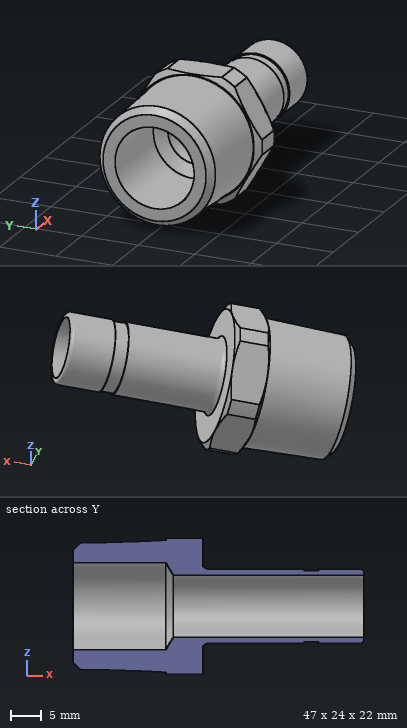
import cadquery as cq
import math

total_length = 47.0
hex_start = 15.0
hex_width = 6.0
hex_end = hex_start + hex_width
groove_start = 37.35
groove_width = 2.25
groove_end = groove_start + groove_width

thread_chamfer = 1.18
thread_gauge_length = 8.15
thread_gauge_radius = 10.5
radius_taper = 1 / 32
entry_radius = 9.1

across_flats = 22.0
corner_diameter = 24.0
hex_chamfer_angle = 30
thread_side_chamfer_height = 1.18
tube_side_chamfer_height = 1.05

tube_radius = 6.0
groove_radius = 5.8
tip_rounding = 0.55
root_width = 1.0
root_height = 0.5

entry_bore_radius = 7.0
tube_bore_radius = 5.0
entry_bore_depth = hex_start
drill_point_angle = 118


def thread_radius(x):
    return thread_gauge_radius + (x - thread_gauge_length) * radius_taper


def revolve_about_x(profile):
    return profile.close().revolve(360, (0, 0, 0), (1, 0, 0))


def make_thread():
    profile = (
        cq.Workplane("XY")
        .lineTo(0, entry_radius)
        .lineTo(thread_chamfer, thread_radius(thread_chamfer))
        .lineTo(thread_gauge_length, thread_gauge_radius)
        .lineTo(hex_start, thread_radius(hex_start))
        .lineTo(hex_start, 0)
    )
    return revolve_about_x(profile)


def make_hex():
    across_corners = across_flats / math.cos(math.pi / 6)
    prism = (
        cq.Workplane("YZ")
        .workplane(offset=hex_start)
        .polygon(6, across_corners)
        .extrude(hex_width)
    )
    corner_radius = corner_diameter / 2
    slope = math.tan(math.radians(hex_chamfer_angle))
    envelope = (
        cq.Workplane("XY")
        .moveTo(hex_start, 0)
        .lineTo(hex_start, corner_radius - thread_side_chamfer_height)
        .lineTo(hex_start + thread_side_chamfer_height * slope, corner_radius)
        .lineTo(hex_end - tube_side_chamfer_height * slope, corner_radius)
        .lineTo(hex_end, corner_radius - tube_side_chamfer_height)
        .lineTo(hex_end, 0)
    )
    return prism.intersect(revolve_about_x(envelope))


def make_tube():
    profile = (
        cq.Workplane("XY")
        .moveTo(hex_end + root_width, 0)
        .lineTo(hex_end + root_width, tube_radius)
        .lineTo(groove_start, tube_radius)
        .lineTo(groove_start, groove_radius)
        .lineTo(groove_end, groove_radius)
        .lineTo(groove_end, tube_radius)
        .lineTo(total_length - tip_rounding, tube_radius)
        .tangentArcPoint((total_length, tube_radius - tip_rounding), relative=False)
        .lineTo(total_length, 0)
    )
    return revolve_about_x(profile)


def make_root():
    profile = (
        cq.Workplane("XY")
        .moveTo(hex_end, 0)
        .lineTo(hex_end + root_width, 0)
        .lineTo(hex_end + root_width, tube_radius)
        .radiusArc(
            (hex_end, tube_radius + root_height),
            (root_width**2 + root_height**2) / (2 * root_height),
        )
    )
    return revolve_about_x(profile)


def make_bore():
    step = entry_bore_radius - tube_bore_radius
    cone_length = step / math.tan(math.radians(drill_point_angle / 2))
    profile = (
        cq.Workplane("XY")
        .lineTo(0, entry_bore_radius)
        .lineTo(entry_bore_depth, entry_bore_radius)
        .lineTo(entry_bore_depth + cone_length, tube_bore_radius)
        .lineTo(total_length, tube_bore_radius)
        .lineTo(total_length, 0)
    )
    return revolve_about_x(profile)


body = make_thread().union(make_hex()).union(make_root()).union(make_tube())
result = body.cut(make_bore())